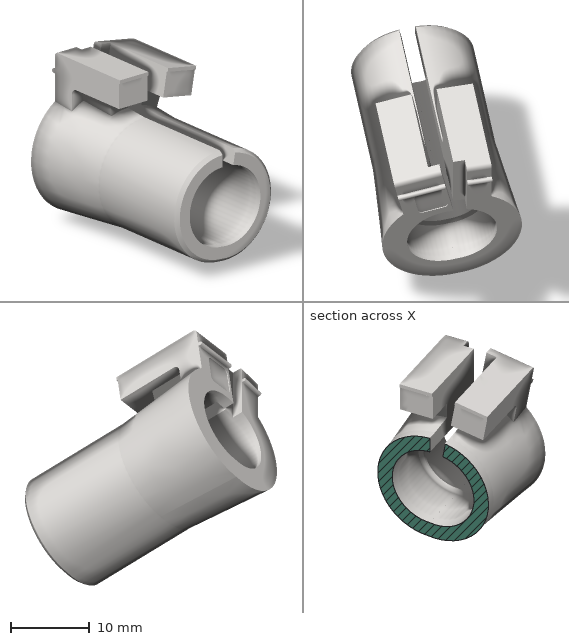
import cadquery as cq
import math


length = 27.83
cone_length = 12.26
mouth_radius = 8.62
barrel_radius = 7.55
end_chamfer = 0.5
bore_radius = 5.4

ridge_radius = 4.85
ridge_start = 5.57
ridge_ramp = 0.3
ridge_land = 0.32

opening_angle = 10.0
hinge_z = -ridge_radius

clip_top = 13.96
clip_length = 13.0
clip_width = 4.7
clip_edge_radius = 0.55
leg_length = 3.4
arm_underside = 10.0
arm_corner_radius = 0.9
web_end = 8.9
web_top_width = 3.15
web_draft_angle = 10.0
end_lip_height = 0.5
end_lip_depth = 0.17

tongue_width = 1.5
tongue_length = 1.5

bead_height = 0.55
bead_depth = 0.57
bead_center_z = 11.32

label_width = 3.9
label_height = 4.0
label_y = 0.82
label_z = 8.5
label_corner_radius = 0.6
label_depth = 0.1


def box(x0, x1, y0, y1, z0, z1):
    """Box between the given limits on each axis."""
    return cq.Workplane("XY").box(x1 - x0, y1 - y0, z1 - z0, centered=False).translate((x0, y0, z0))


def revolve_about_x(profile):
    """Full turn about the X axis of a closed (x, radius) profile."""
    return profile.close().revolve(360, (0, 0, 0), (1, 0, 0))


def make_envelope():
    """Solid outside of the sleeve: tapered mouth, straight barrel, chamfered end."""
    return revolve_about_x(
        cq.Workplane("XY")
        .moveTo(0, 0)
        .lineTo(0, mouth_radius)
        .lineTo(cone_length, barrel_radius)
        .lineTo(length - end_chamfer, barrel_radius)
        .lineTo(length, barrel_radius - end_chamfer)
        .lineTo(length, 0)
    )


def make_bore():
    """Inside of the sleeve, narrowed by the retaining ridge."""
    land_start = ridge_start + ridge_ramp
    land_end = land_start + ridge_land
    return revolve_about_x(
        cq.Workplane("XY")
        .moveTo(0, 0)
        .lineTo(0, bore_radius)
        .lineTo(ridge_start, bore_radius)
        .lineTo(land_start, ridge_radius)
        .lineTo(land_end, ridge_radius)
        .lineTo(land_end + ridge_ramp, bore_radius)
        .lineTo(length, bore_radius)
        .lineTo(length, 0)
    )


def make_web():
    """Web under the arm, its outer face leaning outward toward the arm."""
    bottom_width = web_top_width - arm_underside * math.tan(math.radians(web_draft_angle))
    return (
        cq.Workplane("YZ")
        .moveTo(0, 0)
        .lineTo(-bottom_width, 0)
        .lineTo(-web_top_width, arm_underside)
        .lineTo(0, arm_underside)
        .close()
        .extrude(web_end)
    )


def make_clip(inner_y):
    """Clip block reaching from -clip_width to the joint, its front part to inner_y."""
    arm_end = clip_length - end_lip_depth
    clip = box(0, arm_end, -clip_width, 0, 0, clip_top)
    under_arm = box(leg_length, clip_length, -clip_width, 0, 0, arm_underside)
    under_arm = under_arm.edges("|Y and <X and >Z").fillet(arm_corner_radius)
    clip = clip.cut(under_arm)
    clip = clip.union(make_web())
    clip = clip.union(box(arm_end, clip_length, -clip_width, 0, clip_top - end_lip_height, clip_top))
    if inner_y > 0:
        clip = clip.union(box(0, tongue_length, 0, inner_y, 0, clip_top))
    else:
        clip = clip.cut(box(0, tongue_length, inner_y, 0, 0, clip_top))
    return clip.edges("|Y and <X and >Z").fillet(clip_edge_radius)


def make_bead(inner_y):
    """Round-nosed bead standing out from the front of a clip."""
    nose_radius = bead_height / 2
    root_x = clip_edge_radius
    nose_x = nose_radius - bead_depth
    bottom = bead_center_z - nose_radius
    top = bead_center_z + nose_radius
    return (
        cq.Workplane("XZ", origin=(0, inner_y, 0))
        .moveTo(root_x, bottom)
        .lineTo(nose_x, bottom)
        .threePointArc((-bead_depth, bead_center_z), (nose_x, top))
        .lineTo(root_x, top)
        .close()
        .extrude(clip_width + inner_y)
    )


def make_half(inner_y):
    """Half sleeve on the -Y side with its clip; inner_y is where the front part ends."""
    half_space = box(0, length, -mouth_radius, 0, -mouth_radius, mouth_radius)
    shell = make_envelope().intersect(half_space)
    if inner_y < 0:
        shell = shell.cut(box(0, tongue_length, inner_y, 0, 0, mouth_radius))
    return shell.union(make_clip(inner_y)).union(make_bead(inner_y)).cut(make_bore())


def make_label_recess():
    """Shallow rounded panel sunk into the mouth face."""
    recess = box(
        0, label_depth,
        label_y - label_width / 2, label_y + label_width / 2,
        label_z - label_height / 2, label_z + label_height / 2,
    )
    return recess.edges("|X").fillet(label_corner_radius)


fixed_half = make_half(-tongue_width)
swung_half = make_half(tongue_width).mirror("XZ").cut(make_label_recess())
swung_half = swung_half.rotate((0, 0, hinge_z), (1, 0, hinge_z), -opening_angle)

result = fixed_half.union(swung_half)